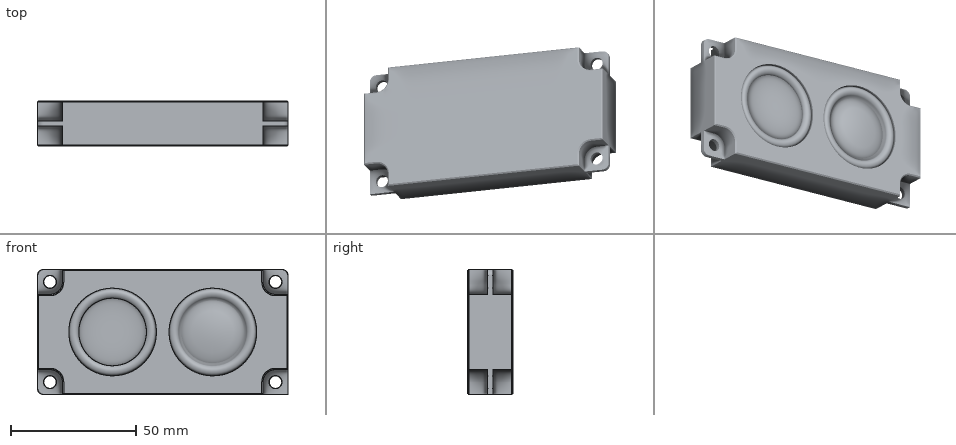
import cadquery as cq
import math

LENGTH = 100.0
DEPTH = 18.0
HEIGHT = 50.0
EDGE_CHAMFER = 0.5
FRONT_Y = -DEPTH / 2

NOTCH_SIZE = 10.0
NOTCH_RADIUS = 5.0
EAR_THICKNESS = 2.0
EAR_CORNER_RADIUS = 2.5
SCREW_HOLE_DIAMETER = 5.0
SCREW_INSET = 5.0

SEAT_DIAMETER = 35.0
SEAT_RADIUS = SEAT_DIAMETER / 2
SEAT_DEPTH = 4.0
SEAT_OFFSET_X = 20.0

ROLL_RADIUS = 2.0
CREST_RADIUS = SEAT_RADIUS - ROLL_RADIUS
ROLL_INNER_RADIUS = CREST_RADIUS - ROLL_RADIUS

DOME_RADIUS = 12.5
DOME_EDGE_DEPTH = ROLL_RADIUS
DOME_APEX_DEPTH = 0.3


def corner_signs():
    """Sign pairs for the four corners in the XZ plane."""
    return [(sx, sz) for sx in (-1, 1) for sz in (-1, 1)]


def slab(length, height, thickness):
    """Plate centred on the origin with its thickness along Y."""
    return cq.Workplane("XY").box(length, thickness, height)


def make_shell():
    """Block with rounded corner notches and chamfered front and back rims."""
    shell = slab(LENGTH, HEIGHT, DEPTH)
    cutter = slab(2 * NOTCH_SIZE, 2 * NOTCH_SIZE, DEPTH).edges("|Y").fillet(NOTCH_RADIUS)
    for sx, sz in corner_signs():
        shell = shell.cut(cutter.translate((sx * LENGTH / 2, 0, sz * HEIGHT / 2)))
    return shell.faces("<Y or >Y").chamfer(EDGE_CHAMFER)


def make_ear_plate():
    """Mid-depth plate whose four corners form the drilled screw ears."""
    plate = slab(LENGTH, HEIGHT, EAR_THICKNESS)
    plate = plate.edges("|Y").edges("<X or >Z").fillet(EAR_CORNER_RADIUS)
    holes = (
        cq.Workplane("XZ", origin=(0, EAR_THICKNESS, 0))
        .rect(LENGTH - 2 * SCREW_INSET, HEIGHT - 2 * SCREW_INSET, forConstruction=True)
        .vertices()
        .circle(SCREW_HOLE_DIAMETER / 2)
        .extrude(2 * EAR_THICKNESS)
    )
    return plate.cut(holes)


def make_housing():
    """Enclosure with screw ears and two blind driver seats in its front."""
    seats = (
        cq.Workplane("XZ", origin=(0, FRONT_Y + SEAT_DEPTH, 0))
        .pushPoints([(-SEAT_OFFSET_X, 0), (SEAT_OFFSET_X, 0)])
        .circle(SEAT_RADIUS)
        .extrude(SEAT_DEPTH)
    )
    return make_shell().union(make_ear_plate()).cut(seats)


def profile_start():
    """Half profile, radius along X, drawn from the seat floor up to the roll's outer foot."""
    return (
        cq.Workplane("XY")
        .moveTo(0, SEAT_DEPTH)
        .lineTo(SEAT_RADIUS, SEAT_DEPTH)
        .lineTo(SEAT_RADIUS, ROLL_RADIUS)
    )


def revolve_into_seat(profile, seat_x):
    """Spin a closed half profile about the Y axis and set it in a seat."""
    return profile.close().revolve(360, (0, 0, 0), (0, 1, 0)).translate((seat_x, FRONT_Y, 0))


def make_passive_radiator():
    """Flat disc with a half-round surround."""
    profile = (
        profile_start()
        .threePointArc((CREST_RADIUS, 0), (ROLL_INNER_RADIUS, ROLL_RADIUS))
        .lineTo(0, ROLL_RADIUS)
    )
    return revolve_into_seat(profile, -SEAT_OFFSET_X)


def make_speaker():
    """Shallow convex dome inside a rounded surround that blends into it."""
    run = CREST_RADIUS - DOME_RADIUS
    turn = 2 * math.atan2(DOME_EDGE_DEPTH, run)
    hollow_radius = run / math.sin(turn) - ROLL_RADIUS
    blend_radius = CREST_RADIUS - ROLL_RADIUS * math.sin(turn)
    blend_depth = ROLL_RADIUS * (1 - math.cos(turn))

    dome_rise = DOME_EDGE_DEPTH - DOME_APEX_DEPTH
    dome_curvature_radius = (DOME_RADIUS**2 + dome_rise**2) / (2 * dome_rise)

    profile = (
        profile_start()
        .radiusArc((CREST_RADIUS, 0), ROLL_RADIUS)
        .radiusArc((blend_radius, blend_depth), ROLL_RADIUS)
        .radiusArc((DOME_RADIUS, DOME_EDGE_DEPTH), -hollow_radius)
        .radiusArc((0, DOME_APEX_DEPTH), dome_curvature_radius)
    )
    return revolve_into_seat(profile, SEAT_OFFSET_X)


housing = make_housing()
passive_radiator = make_passive_radiator()
speaker = make_speaker()

result = cq.Compound.makeCompound([housing.val(), passive_radiator.val(), speaker.val()])